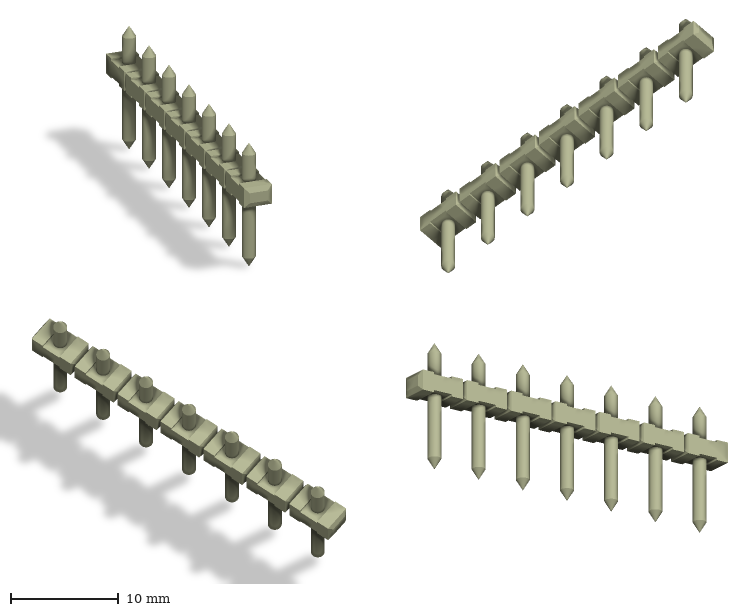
import cadquery as cq

overall_length = 35.0
pin_count = 7
pitch = overall_length / pin_count

body_width = 2.8
body_height = 2.0
boss_length = 0.25
boss_inset = 0.5
block_length = pitch - 2 * boss_length

groove_width = 2.0
groove_depth = 0.2

pin_diameter = 1.3
pin_length = 12.5
point_length = 1.05
pin_above_body = 3.5
pin_top = body_height / 2 + pin_above_body
pin_bottom = pin_top - pin_length


def make_end_boss(direction):
    """Tapered boss on the +X (direction 1) or -X (direction -1) end of a block."""
    base = cq.Plane(origin=(direction * block_length / 2, 0, 0), xDir=(0, 1, 0), normal=(direction, 0, 0))
    return (
        cq.Workplane(base)
        .rect(body_width, body_height)
        .workplane(offset=boss_length)
        .rect(body_width - 2 * boss_inset, body_height - 2 * boss_inset)
        .loft(ruled=True)
    )


def make_block():
    """Block with both cross grooves and both end bosses, centred on the origin."""
    block = cq.Workplane("XY").box(block_length, body_width, body_height)
    groove = cq.Workplane("XY").box(groove_width, body_width, 2 * groove_depth)
    for side in (1, -1):
        block = block.cut(groove.translate((0, 0, side * body_height / 2)))
        block = block.union(make_end_boss(side))
    return block


def make_pin():
    """Round pin with a cone on each end, revolved about the Z axis."""
    radius = pin_diameter / 2
    return (
        cq.Workplane("XZ")
        .moveTo(0, pin_bottom)
        .lineTo(radius, pin_bottom + point_length)
        .lineTo(radius, pin_top - point_length)
        .lineTo(0, pin_top)
        .close()
        .revolve(360, (0, 0, 0), (0, 1, 0))
    )


position = make_block().union(make_pin())

first_x = -(overall_length - pitch) / 2
result = position.translate((first_x, 0, 0))
for index in range(1, pin_count):
    result = result.union(position.translate((first_x + index * pitch, 0, 0)))